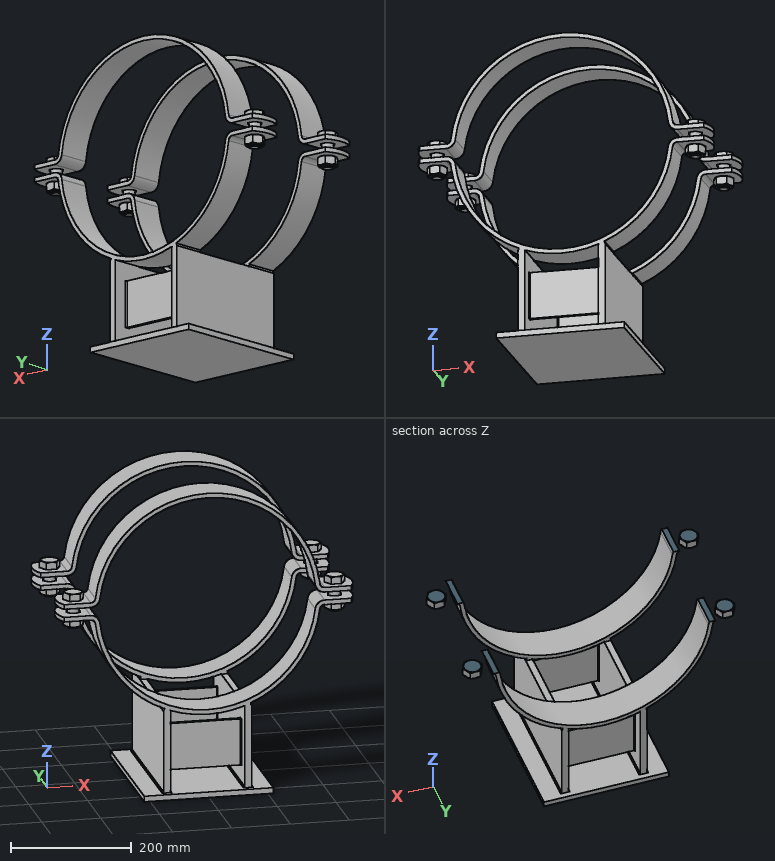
import cadquery as cq
import math

TOTAL_HEIGHT = 526.0
TOTAL_WIDTH = 504.0

BASE_X = 220.0
BASE_Y = 260.0
BASE_THICKNESS = 10.0

BAND_OUTER_RADIUS = 192.0
BAND_THICKNESS = 8.0
BAND_WIDTH = 60.0
BAND_SPACING = 180.0
EAR_GAP = 14.0
EAR_BEND_RADIUS = 8.0
EAR_END_RADIUS = 60.0
EAR_HOLE_DIAMETER = 23.0

BOLT_EDGE_DISTANCE = 30.0
BOLT_DIAMETER = 20.0
BOLT_TIP_DIAMETER = 18.65
BOLT_TIP_LENGTH = 3.0
HEX_ACROSS_FLATS = 30.0
HEAD_CHAMFER_DIAMETER = 30.0
NUT_CHAMFER_DIAMETER = 27.7
HEX_CHAMFER_ANGLE = 30.0
HEAD_HEIGHT = 12.5
NUT_HEIGHT = 16.0

UPRIGHT_OUTER_SPAN = 150.0
UPRIGHT_THICKNESS = 12.0
UPRIGHT_HEIGHT = 142.25
UPRIGHT_LENGTH = BAND_SPACING + BAND_WIDTH
WEB_HEIGHT = 80.0
WEB_BOTTOM_CLEARANCE = 31.5
WEB_THICKNESS = 6.0

WELD_LEG = 2.0
BAND_WELD_SETBACK = 3.0

BAND_INNER_RADIUS = BAND_OUTER_RADIUS - BAND_THICKNESS
BAND_CENTER_Z = TOTAL_HEIGHT - BAND_OUTER_RADIUS
BAND_CENTERS_Y = (-BAND_SPACING / 2, BAND_SPACING / 2)
EAR_INNER_Z = EAR_GAP / 2
EAR_OUTER_Z = EAR_INNER_Z + BAND_THICKNESS
EAR_TIP_X = TOTAL_WIDTH / 2
BOLT_X = EAR_TIP_X - BOLT_EDGE_DISTANCE
UPRIGHT_OUTER_X = UPRIGHT_OUTER_SPAN / 2
UPRIGHT_INNER_X = UPRIGHT_OUTER_X - UPRIGHT_THICKNESS
UPRIGHT_TOP_Z = BASE_THICKNESS + UPRIGHT_HEIGHT
WEB_BOTTOM_Z = BASE_THICKNESS + WEB_BOTTOM_CLEARANCE


def box(x_min, x_max, y_min, y_max, z_min, z_max):
    """Axis-aligned box between the given limits."""
    size = (x_max - x_min, y_max - y_min, z_max - z_min)
    return cq.Workplane("XY").box(*size, centered=False).translate((x_min, y_min, z_min))


def prism_along_y(points, y_min, y_max):
    """Straight-sided X-Z outline extruded from y_min to y_max."""
    outline = cq.Workplane("XZ", origin=(0, y_max, 0)).polyline(points).close()
    return outline.extrude(y_max - y_min)


def mirrored_pair(shape):
    """The shape together with its mirror image across the Y-Z plane."""
    return shape.union(shape.mirror("YZ"))


def ear_end_trim():
    """Plan outline, centred on y = 0, that rounds the ends of the ears."""
    half_width = BAND_WIDTH / 2
    sagitta = EAR_END_RADIUS - math.sqrt(EAR_END_RADIUS**2 - half_width**2)
    corner_x = EAR_TIP_X - sagitta
    return (
        cq.Workplane("XY", origin=(0, 0, -BAND_OUTER_RADIUS))
        .moveTo(-corner_x, -half_width)
        .lineTo(corner_x, -half_width)
        .threePointArc((EAR_TIP_X, 0), (corner_x, half_width))
        .lineTo(-corner_x, half_width)
        .threePointArc((-EAR_TIP_X, 0), (-corner_x, -half_width))
        .close()
        .extrude(2 * BAND_OUTER_RADIUS)
    )


def half_band():
    """Upper half band with bent ears, centred on the band axis."""
    bend_z = EAR_OUTER_Z + EAR_BEND_RADIUS
    bend_x = math.sqrt((BAND_OUTER_RADIUS + EAR_BEND_RADIUS) ** 2 - bend_z**2)
    band_angle = math.atan2(bend_z, bend_x)
    middle_angle = (band_angle + math.pi / 2) / 2

    def on_band(radius):
        return radius * math.cos(band_angle), radius * math.sin(band_angle)

    def mid_bend(radius):
        return bend_x - radius * math.cos(middle_angle), bend_z - radius * math.sin(middle_angle)

    def flip(point):
        return -point[0], point[1]

    tight = EAR_BEND_RADIUS
    wide = EAR_BEND_RADIUS + BAND_THICKNESS
    outer_end = on_band(BAND_OUTER_RADIUS)
    inner_end = on_band(BAND_INNER_RADIUS)
    band = (
        cq.Workplane("XZ", origin=(0, BAND_WIDTH / 2, 0))
        .moveTo(EAR_TIP_X, EAR_OUTER_Z)
        .lineTo(bend_x, EAR_OUTER_Z)
        .threePointArc(mid_bend(tight), outer_end)
        .threePointArc((0, BAND_OUTER_RADIUS), flip(outer_end))
        .threePointArc(flip(mid_bend(tight)), (-bend_x, EAR_OUTER_Z))
        .lineTo(-EAR_TIP_X, EAR_OUTER_Z)
        .lineTo(-EAR_TIP_X, EAR_INNER_Z)
        .lineTo(-bend_x, EAR_INNER_Z)
        .threePointArc(flip(mid_bend(wide)), flip(inner_end))
        .threePointArc((0, BAND_INNER_RADIUS), inner_end)
        .threePointArc(mid_bend(wide), (bend_x, EAR_INNER_Z))
        .lineTo(EAR_TIP_X, EAR_INNER_Z)
        .close()
        .extrude(BAND_WIDTH)
    )
    holes = (
        cq.Workplane("XY")
        .pushPoints([(-BOLT_X, 0), (BOLT_X, 0)])
        .circle(EAR_HOLE_DIAMETER / 2)
        .extrude(EAR_OUTER_Z)
    )
    return band.intersect(ear_end_trim()).cut(holes)


def chamfered_hex(height, chamfer_diameter):
    """Hexagonal prism on z = 0 with its upper corners turned down to a cone."""
    across_corners = HEX_ACROSS_FLATS / math.cos(math.pi / 6)
    corner_radius = across_corners / 2
    top_radius = chamfer_diameter / 2
    drop = (corner_radius - top_radius) * math.tan(math.radians(HEX_CHAMFER_ANGLE))
    turned_profile = [
        (0, 0),
        (corner_radius, 0),
        (corner_radius, height - drop),
        (top_radius, height),
        (0, height),
    ]
    turned = cq.Workplane("XZ").polyline(turned_profile).close().revolve(360, (0, 0, 0), (0, 1, 0))
    return cq.Workplane("XY").polygon(6, across_corners).extrude(height).intersect(turned)


def bolt():
    """Bolt and nut clamping a pair of ears, centred between the ears."""
    nut_end_z = -EAR_OUTER_Z - NUT_HEIGHT
    tip_z = nut_end_z - BOLT_TIP_LENGTH
    tip_chamfer = (BOLT_DIAMETER - BOLT_TIP_DIAMETER) / 2
    head = chamfered_hex(HEAD_HEIGHT, HEAD_CHAMFER_DIAMETER).translate((0, 0, EAR_OUTER_Z))
    nut_end = chamfered_hex(NUT_HEIGHT / 2, NUT_CHAMFER_DIAMETER)
    nut = nut_end.union(nut_end.mirror("XY")).translate((0, 0, nut_end_z + NUT_HEIGHT / 2))
    shank = cq.Workplane("XY", origin=(0, 0, tip_z)).circle(BOLT_DIAMETER / 2).extrude(EAR_OUTER_Z - tip_z)
    shank = shank.faces("<Z").chamfer(tip_chamfer)
    return head.union(shank).union(nut)


def clamp():
    """Two half bands joined by a bolt at each side, centred on the band axis."""
    upper = half_band()
    ring = upper.union(upper.mirror("XY"))
    for x in (-BOLT_X, BOLT_X):
        ring = ring.union(bolt().translate((x, 0, 0)))
    return ring


def base_plate():
    return box(-BASE_X / 2, BASE_X / 2, -BASE_Y / 2, BASE_Y / 2, 0, BASE_THICKNESS)


def uprights():
    """Pair of lengthwise plates with fillet welds along the base."""
    half_length = UPRIGHT_LENGTH / 2
    plate = box(
        UPRIGHT_INNER_X, UPRIGHT_OUTER_X, -half_length, half_length, BASE_THICKNESS, UPRIGHT_TOP_Z
    )
    weld = prism_along_y(
        [
            (UPRIGHT_INNER_X - WELD_LEG, BASE_THICKNESS),
            (UPRIGHT_OUTER_X + WELD_LEG, BASE_THICKNESS),
            (UPRIGHT_OUTER_X, BASE_THICKNESS + WELD_LEG),
            (UPRIGHT_INNER_X, BASE_THICKNESS + WELD_LEG),
        ],
        -half_length,
        half_length,
    )
    return mirrored_pair(plate.union(weld))


def band_welds(y):
    """Wedges closing the gap between the upright tops and the band centred at y."""
    wedge = prism_along_y(
        [
            (UPRIGHT_INNER_X, UPRIGHT_TOP_Z),
            (UPRIGHT_OUTER_X, UPRIGHT_TOP_Z),
            (UPRIGHT_OUTER_X - BAND_WELD_SETBACK, UPRIGHT_TOP_Z + BAND_THICKNESS),
            (UPRIGHT_INNER_X, UPRIGHT_TOP_Z + BAND_THICKNESS),
        ],
        y - BAND_WIDTH / 2,
        y + BAND_WIDTH / 2,
    )
    bore = (
        cq.Workplane("XZ", origin=(0, UPRIGHT_LENGTH / 2, BAND_CENTER_Z))
        .circle(BAND_OUTER_RADIUS - BAND_THICKNESS / 2)
        .extrude(UPRIGHT_LENGTH)
    )
    return mirrored_pair(wedge.cut(bore))


def web(y):
    """Cross web between the uprights, centred at y, with fillet welds down its ends."""
    half = WEB_THICKNESS / 2
    plate = box(
        -UPRIGHT_INNER_X, UPRIGHT_INNER_X, y - half, y + half, WEB_BOTTOM_Z, WEB_BOTTOM_Z + WEB_HEIGHT
    )
    weld = (
        cq.Workplane("XY", origin=(0, 0, WEB_BOTTOM_Z))
        .polyline(
            [
                (UPRIGHT_INNER_X, y - half - WELD_LEG),
                (UPRIGHT_INNER_X, y + half + WELD_LEG),
                (UPRIGHT_INNER_X - WELD_LEG, y + half),
                (UPRIGHT_INNER_X - WELD_LEG, y - half),
            ]
        )
        .close()
        .extrude(WEB_HEIGHT)
    )
    return plate.union(mirrored_pair(weld))


result = base_plate().union(uprights())
for center_y in BAND_CENTERS_Y:
    result = result.union(web(center_y))
    result = result.union(clamp().translate((0, center_y, BAND_CENTER_Z)))
    result = result.union(band_welds(center_y))